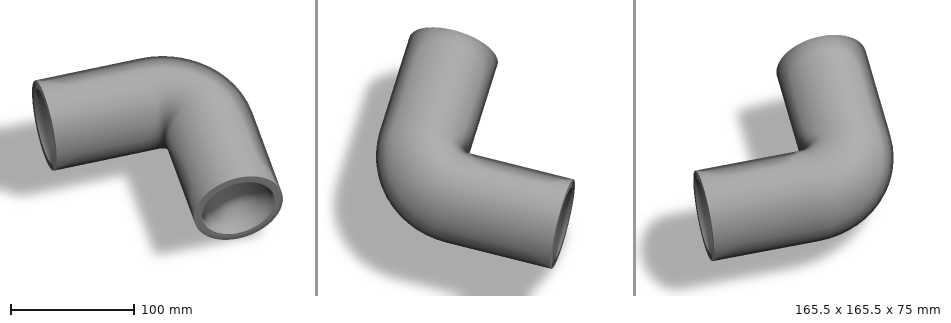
import cadquery as cq

overall_length = 165.5
outer_diameter = 75.0
bore_diameter = 61.2
leg_length = 88.7
bend_angle = 90

outer_radius = outer_diameter / 2
bend_radius = overall_length - leg_length - outer_radius


def elbow(diameter):
    """Solid round bar with a leg along -Y, a quarter bend and a leg along +X.

    The centrelines of the two legs meet at the origin.
    """
    radius = diameter / 2
    front_joint = cq.Workplane("XZ", origin=(0, -bend_radius, 0))
    side_joint = cq.Workplane("YZ", origin=(bend_radius, 0, 0))

    front_leg = front_joint.circle(radius).extrude(leg_length)
    side_leg = side_joint.circle(radius).extrude(leg_length)

    axis_start = (bend_radius, 1.7, 0)
    axis_end = (bend_radius, 0, 0)
    bend = front_joint.circle(radius).revolve(bend_angle, axis_start, axis_end)

    return front_leg.union(bend).union(side_leg)


result = elbow(outer_diameter).cut(elbow(bore_diameter))